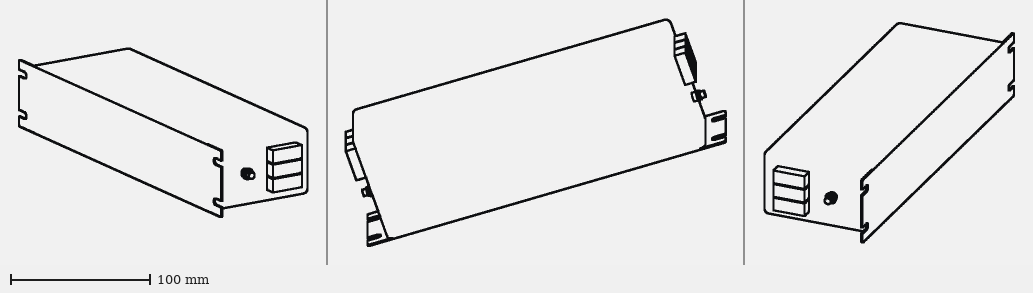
import cadquery as cq

plate_length = 270.0
height = 50.0
plate_thickness = 1.0
plate_corner_radius = 1.5

slot_width = 4.9
slot_depth = 10.0
slot_offset_z = 15.0

total_depth = 85.0
housing_length = 240.0
housing_radius = 4.0

terminal_count = 3
terminal_projection = 8.0
terminal_depth = 24.5
terminal_height = 10.0
terminal_gap = 0.8
terminal_center_y = 60.8

stud_y = 30.0
nut_diameter = 6.5
washer_diameter = 7.8
thread_diameter = 4.9
inner_nut_end = 3.2
washer_end = 4.0
outer_nut_end = 5.7
stud_end = 9.0

wall_x = housing_length / 2
sides = (-1, 1)


def make_plate():
    """Flat plate with rounded corners and two round-ended slots in each short end."""
    plate = cq.Workplane("XY").box(plate_length, plate_thickness, height, centered=(True, False, True))
    plate = plate.edges("|Y").fillet(plate_corner_radius)
    slots = (
        cq.Workplane("XZ")
        .pushPoints([(sx * plate_length / 2, sz * slot_offset_z) for sx in sides for sz in sides])
        .slot2D(2 * slot_depth, slot_width)
        .extrude(-plate_thickness)
    )
    return plate.cut(slots)


def make_terminals(side):
    """Stack of rectangular terminals standing on one end wall."""
    pitch = terminal_height + terminal_gap
    middle = (terminal_count - 1) / 2
    center_x = side * (wall_x + terminal_projection / 2)
    return (
        cq.Workplane("XZ", origin=(center_x, terminal_center_y, 0))
        .pushPoints([(0, (i - middle) * pitch) for i in range(terminal_count)])
        .box(terminal_projection, terminal_height, terminal_depth)
    )


def make_housing():
    """Rounded box in one piece with its mounting plate and the terminals on both end walls."""
    box = cq.Workplane("XY").box(housing_length, total_depth, height, centered=(True, False, True))
    housing = box.edges("|Y or >Y").fillet(housing_radius).union(make_plate())
    for side in sides:
        housing = housing.union(make_terminals(side))
    return housing


def make_stud(side):
    """Threaded stud with a washer between two round nuts, revolved about its axis along X."""
    steps = [
        (inner_nut_end, nut_diameter),
        (washer_end, washer_diameter),
        (outer_nut_end, nut_diameter),
        (stud_end, thread_diameter),
    ]
    profile = [(0, 0)]
    start = 0
    for end, diameter in steps:
        profile += [(start, diameter / 2), (end, diameter / 2)]
        start = end
    profile.append((stud_end, 0))
    points = [(side * (wall_x + distance), radius) for distance, radius in profile]
    return cq.Workplane("XZ", origin=(0, stud_y, 0)).polyline(points).close().revolve(360, (0, 0), (1, 0))


housing = make_housing()
studs = [make_stud(side) for side in sides]

result = cq.Compound.makeCompound([housing.val(), *[stud.val() for stud in studs]])